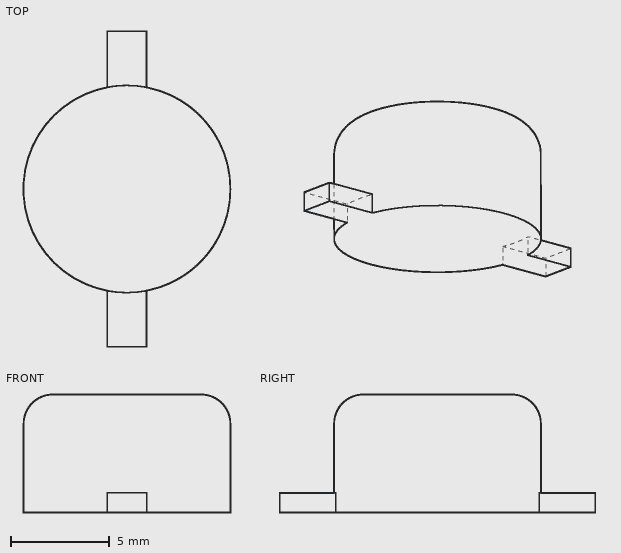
import cadquery as cq

BODY_DIAMETER = 10.5
BODY_HEIGHT = 6.0
TOP_EDGE_RADIUS = 1.5

TAB_SPAN = 16.0
TAB_WIDTH = 2.0
TAB_THICKNESS = 1.0


def make_body():
    """Cylinder standing on Z = 0 with a rounded top edge."""
    cylinder = cq.Workplane("XY").circle(BODY_DIAMETER / 2).extrude(BODY_HEIGHT)
    return cylinder.faces(">Z").edges().fillet(TOP_EDGE_RADIUS)


def make_tabs():
    """One flat bar through the base whose ends form both tabs."""
    return cq.Workplane("XY").rect(TAB_WIDTH, TAB_SPAN).extrude(TAB_THICKNESS)


result = make_body().union(make_tabs())